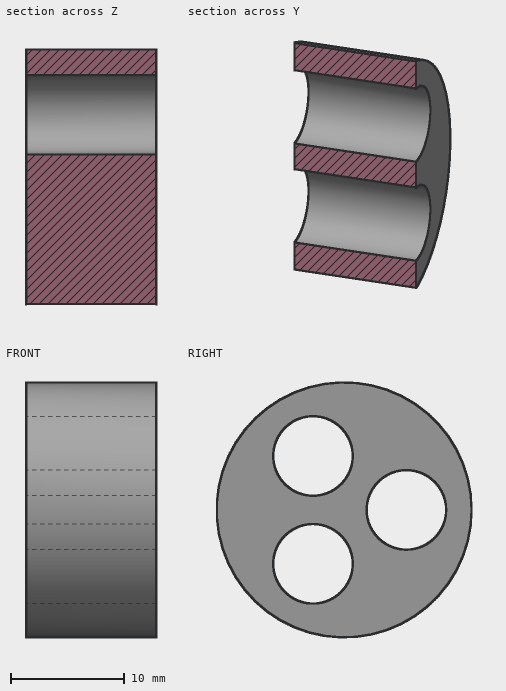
import cadquery as cq

disc_diameter = 22.5
disc_thickness = 11.5
hole_diameter = 7.0
hole_circle_radius = 5.5
hole_count = 3

disc = cq.Workplane("YZ").circle(disc_diameter / 2).extrude(disc_thickness)

holes = (
    cq.Workplane("YZ")
    .polarArray(hole_circle_radius, startAngle=0, angle=360, count=hole_count)
    .circle(hole_diameter / 2)
    .extrude(disc_thickness)
)

result = disc.cut(holes)